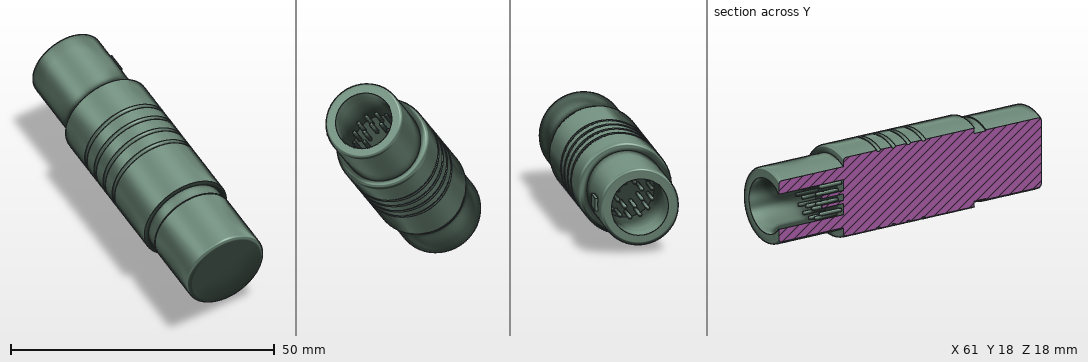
import cadquery as cq
import math

length = 61.0
shoulder_x = 14.95
grip_end_x = 45.4
tail_x = 48.0

nose_diameter = 15.0
grip_diameter = 18.0
neck_diameter = 16.1
tail_diameter = 16.5
nose_round = 0.6
grip_round = 0.75
tail_round = 0.75

groove_count = 4
first_groove_x = 23.2
groove_pitch = 3.5
groove_width = 0.9
groove_depth = 0.275

socket_diameter = 11.0
socket_depth = shoulder_x
pin_diameter = 0.75
pin_length = 5.0
pin_rings = (
    (14, 4.4, 90.0),
    (8, 2.5, 22.5),
)

key_x = 3.55
key_length = 3.9
key_width = 2.45
key_height = 8.0


def cylinder(start_x, end_x, diameter):
    """Round bar along +X, centred on the part axis."""
    return cq.Workplane("YZ", origin=(start_x, 0, 0)).circle(diameter / 2).extrude(end_x - start_x)


def make_body():
    nose = cylinder(0, shoulder_x, nose_diameter).faces("<X").edges().fillet(nose_round)
    grip = cylinder(shoulder_x, grip_end_x, grip_diameter).faces("<X").edges().fillet(grip_round)
    neck = cylinder(grip_end_x, tail_x, neck_diameter)
    tail = cylinder(tail_x, length, tail_diameter).faces(">X").edges().fillet(tail_round)
    return nose.union(grip).union(neck).union(tail)


def make_groove(center_x):
    """Ring with a circular section that cuts the grip to the groove width and depth."""
    section_radius = (groove_width**2 / 4 + groove_depth**2) / (2 * groove_depth)
    section_center = grip_diameter / 2 - groove_depth + section_radius
    section = cq.Workplane("XY").center(center_x, section_center).circle(section_radius)
    return section.revolve(360, (0, -section_center, 0), (1, -section_center, 0))


def make_key():
    """Flat-topped block on the +Y side, rooted halfway into the nose wall."""
    root = (nose_diameter + socket_diameter) / 4
    key = cq.Workplane("XY").box(key_length, key_height - root, key_width, centered=(False, False, True))
    return key.translate((key_x, root, 0))


def make_pin(y, z):
    """Pin standing on the socket floor, with a hemispherical tip."""
    tip_radius = pin_diameter / 2
    tip_center_x = socket_depth - pin_length + tip_radius
    shank = cylinder(tip_center_x, socket_depth, pin_diameter)
    tip = cq.Workplane("XY").sphere(tip_radius).translate((tip_center_x, 0, 0))
    return shank.union(tip).translate((0, y, z))


result = make_body()

for index in range(groove_count):
    result = result.cut(make_groove(first_groove_x + index * groove_pitch))

result = result.union(make_key())
result = result.cut(cylinder(0, socket_depth, socket_diameter))

for count, ring_radius, first_angle in pin_rings:
    for index in range(count):
        angle = math.radians(first_angle + index * 360 / count)
        result = result.union(make_pin(ring_radius * math.cos(angle), ring_radius * math.sin(angle)))